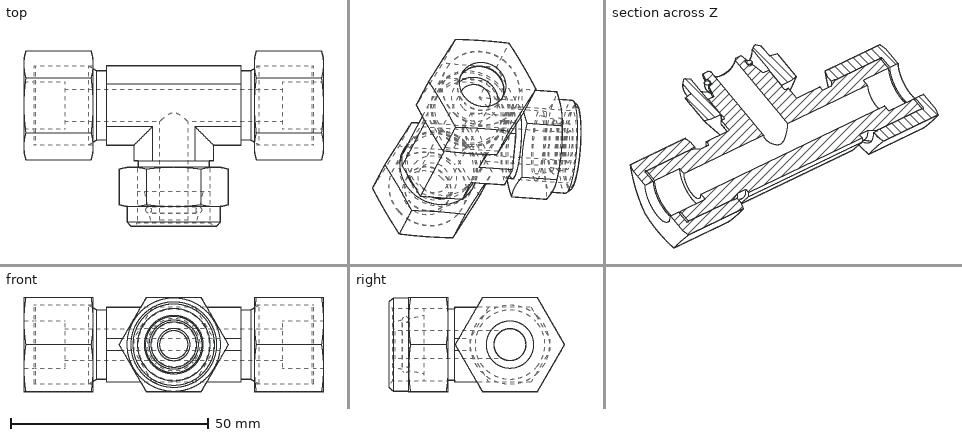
import cadquery as cq
import math

BRANCH = 0
RUNS = (-90, 90)

HALF_HEIGHT = 9.5
HALF_WIDTH = 10.1
TOP_FLAT_HALF = 5.4
SIDE_FLAT_HALF = 1.5
RUN_HALF_LENGTH = 17.1
ARM_LENGTH = 14.05

ACROSS_FLATS = 24.0
ACROSS_CORNERS = ACROSS_FLATS / math.cos(math.pi / 6)
HEX_FACE_RADIUS = 11.9
HEX_CHAMFER_LENGTH = 0.495

RUN_END = 38.0
END_NUT_LENGTH = 17.55
END_NUT_WALL = 2.5
TUBE_RADIUS = 6.0
RUN_BORE_RADIUS = 4.0
RELIEF_RADIUS = 8.8
RELIEF_END = 19.5
RELIEF_ANGLE = 30
THREAD_RADIUS = 10.0
STUB_GAP = 0.4
SOCKET_DEPTH = 7.5
STUB_END = RUN_END - END_NUT_WALL - STUB_GAP
FLARE_HEIGHT = THREAD_RADIUS - RELIEF_RADIUS
THREAD_START = RELIEF_END + FLARE_HEIGHT / math.tan(math.radians(RELIEF_ANGLE))

SWIVEL_END = 30.7
SWIVEL_HEX_START = 15.65
SWIVEL_HEX_END = 25.7
SWIVEL_RIM_RADIUS = 11.85
SWIVEL_RIM_FACE_RADIUS = 10.9
SWIVEL_RIM_CHAMFER_LENGTH = 1.15
SWIVEL_BORE_RADIUS = 9.2
NECK_RADIUS = 9.05
SWIVEL_MOUTH_RADIUS = 10.3
SWIVEL_MOUTH_DEPTH = 0.9
BRANCH_BORE_RADIUS = 3.6
BRANCH_BORE_CHAMFER = 0.5
CONE_HALF_ANGLE = 12
CONE_TIP_RADIUS = 5.8
CONE_BASE_RADIUS = 7.45
CONE_RECESS = 1.1
CONE_TIP = SWIVEL_END - CONE_RECESS
CONE_RISE = CONE_BASE_RADIUS - CONE_TIP_RADIUS
CONE_BASE = CONE_TIP - CONE_RISE / math.tan(math.radians(CONE_HALF_ANGLE))

RING_SECTION_RADIUS = 0.75
GROOVE_FLOOR_RADIUS = 5.6
GROOVE_SETBACK = 2.2
RING_SIDE_PLAY = 0.4
GROOVE_WIDTH = 2 * RING_SECTION_RADIUS + RING_SIDE_PLAY
GROOVE_OUTER = CONE_TIP - GROOVE_SETBACK
GROOVE_INNER = GROOVE_OUTER - GROOVE_WIDTH


def revolved(profile):
    """Revolve (radius, distance) points about local Z."""
    return cq.Workplane("XZ").polyline(profile).close().revolve(360, (0, 0, 0), (0, 1, 0))


def cylinder(radius, start, end):
    return cq.Workplane("XY").workplane(offset=start).circle(radius).extrude(end - start)


def face_port(shape, direction):
    """Lay a local Z shape along -Y, then turn it about Z to its port direction."""
    laid = shape.rotate((0, 0, 0), (1, 0, 0), 90)
    return laid.rotate((0, 0, 0), (0, 0, 1), direction)


def cone_radius(distance):
    return CONE_TIP_RADIUS + (CONE_TIP - distance) * math.tan(math.radians(CONE_HALF_ANGLE))


def chamfered_hex(start, end):
    """Hexagon with corners on local X and both ends turned to a shallow cone."""
    corner_radius = ACROSS_CORNERS / 2
    prism = cq.Workplane("XY").workplane(offset=start).polygon(6, ACROSS_CORNERS).extrude(end - start)
    envelope = revolved([
        (0, start),
        (HEX_FACE_RADIUS, start),
        (corner_radius, start + HEX_CHAMFER_LENGTH),
        (corner_radius, end - HEX_CHAMFER_LENGTH),
        (HEX_FACE_RADIUS, end),
        (0, end),
    ])
    return prism.intersect(envelope)


def octagon_bar(start, end):
    """Octagonal bar along local Z, its broad flats facing local +Y and -Y."""
    corners = [
        (HALF_WIDTH, -SIDE_FLAT_HALF),
        (HALF_WIDTH, SIDE_FLAT_HALF),
        (TOP_FLAT_HALF, HALF_HEIGHT),
        (-TOP_FLAT_HALF, HALF_HEIGHT),
        (-HALF_WIDTH, SIDE_FLAT_HALF),
        (-HALF_WIDTH, -SIDE_FLAT_HALF),
        (-TOP_FLAT_HALF, -HALF_HEIGHT),
        (TOP_FLAT_HALF, -HALF_HEIGHT),
    ]
    return cq.Workplane("XY").workplane(offset=start).polyline(corners).close().extrude(end - start)


def run_stub():
    """Relieved neck that flares up to the thread diameter."""
    return revolved([
        (0, 0),
        (RELIEF_RADIUS, 0),
        (RELIEF_RADIUS, RELIEF_END),
        (THREAD_RADIUS, THREAD_START),
        (THREAD_RADIUS, STUB_END),
        (0, STUB_END),
    ])


def branch_stub():
    """Neck, shoulder filling the swivel nut bore, and the grooved sealing cone in front of it."""
    return revolved([
        (0, 0),
        (NECK_RADIUS, 0),
        (NECK_RADIUS, SWIVEL_HEX_START),
        (SWIVEL_BORE_RADIUS, SWIVEL_HEX_START),
        (SWIVEL_BORE_RADIUS, CONE_BASE),
        (CONE_BASE_RADIUS, CONE_BASE),
        (cone_radius(GROOVE_INNER), GROOVE_INNER),
        (GROOVE_FLOOR_RADIUS, GROOVE_INNER),
        (GROOVE_FLOOR_RADIUS, GROOVE_OUTER),
        (cone_radius(GROOVE_OUTER), GROOVE_OUTER),
        (CONE_TIP_RADIUS, CONE_TIP),
        (0, CONE_TIP),
    ])


def branch_passage():
    """Through passage with a chamfered mouth at the cone tip."""
    return revolved([
        (0, 0),
        (BRANCH_BORE_RADIUS, 0),
        (BRANCH_BORE_RADIUS, CONE_TIP - BRANCH_BORE_CHAMFER),
        (BRANCH_BORE_RADIUS + BRANCH_BORE_CHAMFER, CONE_TIP),
        (0, CONE_TIP),
    ])


def make_tee():
    tee = face_port(octagon_bar(-RUN_HALF_LENGTH, RUN_HALF_LENGTH), RUNS[0])
    tee = tee.union(face_port(octagon_bar(0, ARM_LENGTH), BRANCH))
    tee = tee.union(face_port(branch_stub(), BRANCH))
    for direction in RUNS:
        tee = tee.union(face_port(run_stub(), direction))
    tee = tee.cut(face_port(branch_passage(), BRANCH))
    for direction in RUNS:
        tee = tee.cut(face_port(cylinder(RUN_BORE_RADIUS, 0, STUB_END), direction))
        tee = tee.cut(face_port(cylinder(TUBE_RADIUS, STUB_END - SOCKET_DEPTH, STUB_END), direction))
    return tee


def make_end_nut(direction):
    start = RUN_END - END_NUT_LENGTH
    nut = chamfered_hex(start, RUN_END)
    nut = nut.cut(cylinder(THREAD_RADIUS, start, RUN_END - END_NUT_WALL))
    nut = nut.cut(cylinder(TUBE_RADIUS, start, RUN_END))
    return face_port(nut, direction)


def make_swivel_nut():
    rim = revolved([
        (0, SWIVEL_HEX_START),
        (SWIVEL_RIM_RADIUS, SWIVEL_HEX_START),
        (SWIVEL_RIM_RADIUS, SWIVEL_END - SWIVEL_RIM_CHAMFER_LENGTH),
        (SWIVEL_RIM_FACE_RADIUS, SWIVEL_END),
        (0, SWIVEL_END),
    ])
    bore = revolved([
        (0, SWIVEL_HEX_START),
        (SWIVEL_BORE_RADIUS, SWIVEL_HEX_START),
        (SWIVEL_BORE_RADIUS, SWIVEL_END - SWIVEL_MOUTH_DEPTH),
        (SWIVEL_MOUTH_RADIUS, SWIVEL_END),
        (0, SWIVEL_END),
    ])
    nut = chamfered_hex(SWIVEL_HEX_START, SWIVEL_HEX_END).union(rim).cut(bore)
    return face_port(nut, BRANCH)


def make_o_ring():
    centre_radius = GROOVE_FLOOR_RADIUS + RING_SECTION_RADIUS
    centre_distance = (GROOVE_INNER + GROOVE_OUTER) / 2
    section = cq.Workplane("XZ").center(centre_radius, centre_distance).circle(RING_SECTION_RADIUS)
    ring = section.revolve(360, (-centre_radius, 0, 0), (-centre_radius, 1, 0))
    return face_port(ring, BRANCH)


tee = make_tee()
end_nuts = [make_end_nut(direction) for direction in RUNS]
swivel_nut = make_swivel_nut()
o_ring = make_o_ring()

result = cq.Compound.makeCompound([
    tee.val(),
    *[nut.val() for nut in end_nuts],
    swivel_nut.val(),
    o_ring.val(),
])